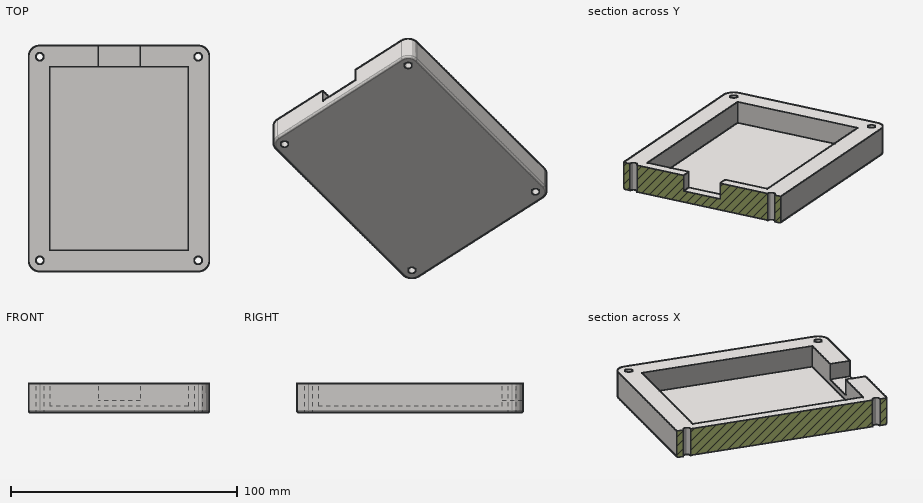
import cadquery as cq

width = 80.0
length = 100.0
height = 13.0
corner_radius = 5.0
bottom_edge_radius = 1.0

wall_thickness = 9.5
floor_thickness = 3.0
cavity_width = width - 2 * wall_thickness
cavity_length = length - 2 * wall_thickness

notch_width = 18.5
notch_depth = 7.5
notch_center_x = 0.15

hole_diameter = 3.4
hole_spacing_x = width - 2 * corner_radius
hole_spacing_y = length - 2 * corner_radius


def make_body():
    """Block standing on Z = 0, with rounded corners and a rounded bottom edge."""
    block = cq.Workplane("XY").box(width, length, height, centered=(True, True, False))
    rounded_block = block.edges("|Z").fillet(corner_radius)
    return rounded_block.faces("<Z").edges().fillet(bottom_edge_radius)


def make_cavity():
    """Rectangular pocket from the floor up to the rim."""
    floor_plane = cq.Workplane("XY").workplane(offset=floor_thickness)
    return floor_plane.rect(cavity_width, cavity_length).extrude(height - floor_thickness)


def make_notch():
    """Open slot from the cavity out through the +Y wall."""
    notch_center_y = (length - wall_thickness) / 2
    notch_plane = cq.Workplane("XY").workplane(offset=height - notch_depth)
    notch_plane = notch_plane.center(notch_center_x, notch_center_y)
    return notch_plane.rect(notch_width, wall_thickness).extrude(notch_depth)


def make_screw_holes():
    """Four through holes, one in each corner."""
    corners = cq.Workplane("XY").rect(hole_spacing_x, hole_spacing_y, forConstruction=True)
    return corners.vertices().circle(hole_diameter / 2).extrude(height)


result = make_body().cut(make_cavity()).cut(make_notch()).cut(make_screw_holes())